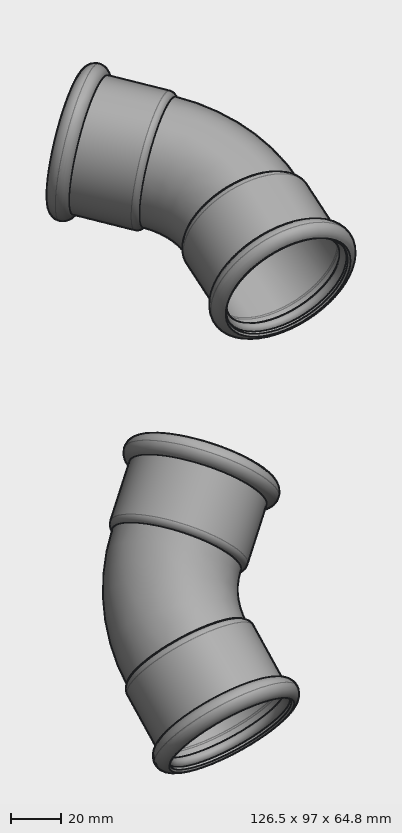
import cadquery as cq

bend_angle = 45
bend_radius = 56.6
wall = 1.5
bend_outer_radius = 27.0
bend_inner_radius = bend_outer_radius - wall

socket_length = 38.5
socket_outer_radius = 28.7
socket_bore_radius = 54.5 / 2
shoulder_length = 3.0

bead_outer_radius = 32.4
bead_tube_radius = 5.0
bead_center_radius = bead_outer_radius - bead_tube_radius
bead_center = socket_length - bead_tube_radius

mouth_radius = 54.7 / 2
taper_start = socket_length - 2 * bead_tube_radius
taper_length = 0.8
lead_in_chamfer = 0.9

seal_tube_radius = 2.3
seal_center_radius = 28.0
seal_center = socket_length - 4.3


def socket_torus(position, center_radius, tube_radius):
    """A torus about the socket axis, X, centred at a position along it."""
    torus = cq.Solid.makeTorus(
        center_radius,
        tube_radius,
        cq.Vector(position, 0, 0),
        cq.Vector(1, 0, 0),
    )
    return cq.Workplane(obj=torus)


def cylinder(start, end, radius):
    """A solid cylinder along the socket axis."""
    return cq.Workplane("YZ", origin=(start, 0, 0)).circle(radius).extrude(end - start)


def make_mouth():
    """The space inside the bead: taper, straight wall and lead-in chamfer."""
    return (
        cq.Workplane("XY")
        .moveTo(taper_start, 0)
        .lineTo(taper_start, socket_bore_radius)
        .lineTo(taper_start + taper_length, mouth_radius)
        .lineTo(socket_length - lead_in_chamfer, mouth_radius)
        .lineTo(socket_length, mouth_radius + lead_in_chamfer)
        .lineTo(socket_length, 0)
        .close()
        .revolve(360, (0, 0, 0), (1, 0, 0))
    )


def make_socket():
    """A socket starting at the origin, with its open mouth toward +X."""
    shell = cylinder(0, bead_center, socket_outer_radius)
    shell = shell.faces("<X").edges().fillet(shoulder_length)
    shell = shell.union(socket_torus(bead_center, bead_center_radius, bead_tube_radius))

    bore = cylinder(wall, taper_start, socket_bore_radius)
    bore = bore.faces("<X").edges().fillet(socket_bore_radius - bend_inner_radius)
    throat = cylinder(0, taper_start, bend_inner_radius)
    seal = socket_torus(seal_center, seal_center_radius, seal_tube_radius)
    return shell.cut(bore).cut(throat).cut(make_mouth()).union(seal)


def make_bend():
    """The curved pipe from the origin, running toward -X and turning to -Y."""
    return (
        cq.Workplane("YZ")
        .circle(bend_outer_radius)
        .circle(bend_inner_radius)
        .revolve(bend_angle, (-bend_radius, 0, 0), (-bend_radius, 1, 0))
    )


near_socket = make_socket()
far_socket = near_socket.mirror("YZ").rotate(
    (0, -bend_radius, 0),
    (0, -bend_radius, 1),
    bend_angle,
)
result = make_bend().union(near_socket).union(far_socket)